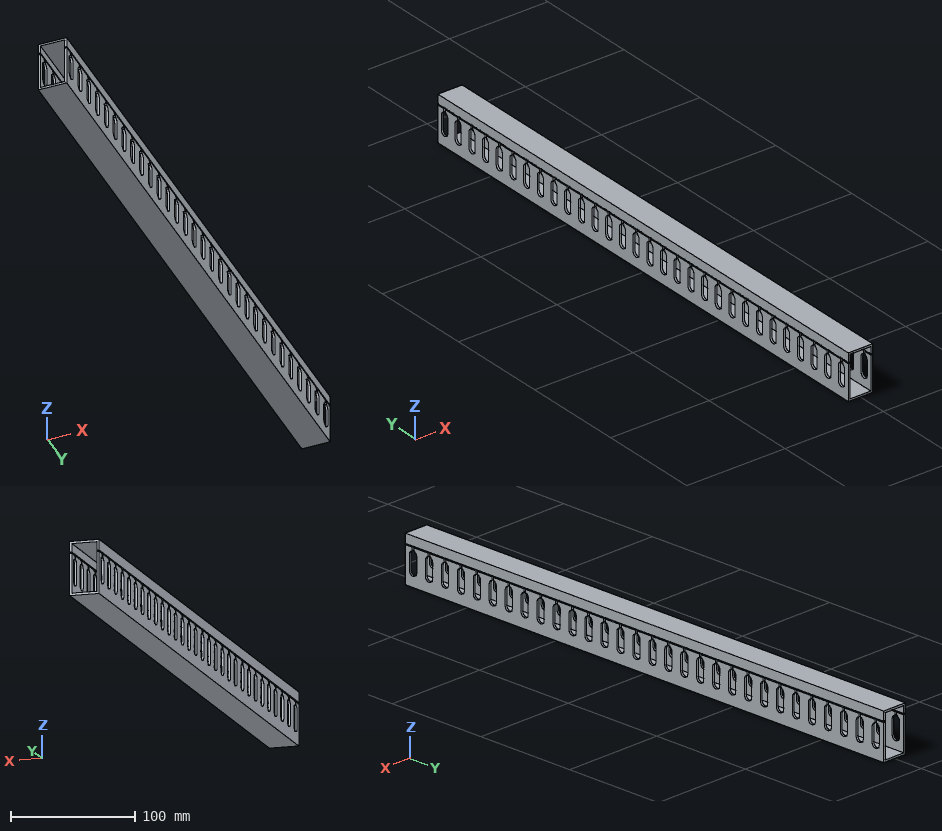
import cadquery as cq

length = 540.0
width = 25.0
height = 45.0
wall = 2.0

duct_height = 35.0
cover_gap = 1.0
cover_bottom = duct_height + cover_gap

slot_count = 30
slot_pitch = length / slot_count
slot_width = 8.0
slot_bottom = 10.0
slot_top = 32.0
slit_width = 2.0

inner_width = width - 2 * wall
slot_height = slot_top - slot_bottom
slot_middle = (slot_top + slot_bottom) / 2


def bar(bar_width, bottom, top):
    """Full-length bar, centred on X and Y, between two heights."""
    return cq.Workplane("XY").workplane(offset=bottom).rect(bar_width, length).extrude(top - bottom)


def wall_slot(y):
    """Cutter for one round-ended slot and its slit, through both side walls."""
    slot = (
        cq.Workplane("YZ")
        .center(y, slot_middle)
        .slot2D(slot_height, slot_width, 90)
        .extrude(width, both=True)
    )
    slit = (
        cq.Workplane("YZ")
        .center(y, (slot_middle + duct_height) / 2)
        .rect(slit_width, duct_height - slot_middle)
        .extrude(width, both=True)
    )
    return slot.union(slit)


def make_duct():
    """U-channel with a row of open slots along both side walls."""
    channel = bar(width, 0, duct_height).cut(bar(inner_width, wall, duct_height))
    for index in range(slot_count):
        slot_y = (index + 0.5) * slot_pitch - length / 2
        channel = channel.cut(wall_slot(slot_y))
    return channel


def make_cover():
    """Inverted U, flush with the duct walls, that closes the top."""
    return bar(width, cover_bottom, height).cut(bar(inner_width, cover_bottom, height - wall))


duct = make_duct()
cover = make_cover()

result = cq.Compound.makeCompound([duct.solids().val(), cover.solids().val()])